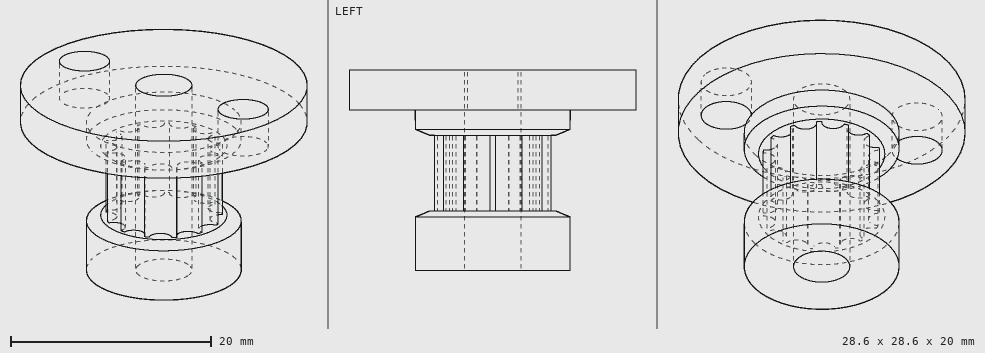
import cadquery as cq
import math

flange_diameter = 28.6
flange_thickness = 4
bolt_hole_diameter = 5.0
bolt_hole_offset = 10

total_height = 20.0
bore_diameter = 5.6
rim_radius = 7.72
rim_chamfer_height = 0.6
rim_face_radius = 6.3
lower_rim_height = 5.95
belt_width = 7.52
tooth_count = 13
tip_radius = 5.83
groove_radius = 1.15
tooth_edge_radius = 0.072

flange_bottom = total_height - flange_thickness
belt_top = lower_rim_height + belt_width
tooth_pitch = 360 / tooth_count


def make_rims():
    """Revolve the lower rim and the upper rim, chamfered where they face the belt."""
    lower_profile = [
        (0, 0),
        (rim_radius, 0),
        (rim_radius, lower_rim_height - rim_chamfer_height),
        (rim_face_radius, lower_rim_height),
        (0, lower_rim_height),
    ]
    upper_profile = [
        (0, belt_top),
        (rim_face_radius, belt_top),
        (rim_radius, belt_top + rim_chamfer_height),
        (rim_radius, flange_bottom),
        (0, flange_bottom),
    ]
    rims = cq.Workplane("XY")
    for profile in (lower_profile, upper_profile):
        outline = cq.Workplane("XZ").polyline(profile).close()
        rims = rims.add(outline.revolve(360, (0, 0), (0, 1)))
    return rims.combine()


def make_toothed_drum():
    """Drum with round grooves centred on the tip circle and one tooth centred on -X."""
    base = cq.Workplane("XY", origin=(0, 0, lower_rim_height))
    centers = []
    for index in range(tooth_count):
        angle = math.radians(180 + (index + 0.5) * tooth_pitch)
        centers.append((tip_radius * math.cos(angle), tip_radius * math.sin(angle)))
    grooves = base.pushPoints(centers).circle(groove_radius).extrude(belt_width)
    drum = base.circle(tip_radius).extrude(belt_width).cut(grooves)
    return drum.edges("|Z").fillet(tooth_edge_radius)


def make_flange():
    """Disc with two bolt holes that stop at the top of the pulley rim."""
    return (
        cq.Workplane("XY", origin=(0, 0, flange_bottom))
        .circle(flange_diameter / 2)
        .extrude(flange_thickness)
        .faces(">Z")
        .workplane()
        .pushPoints([(-bolt_hole_offset, 0), (bolt_hole_offset, 0)])
        .hole(bolt_hole_diameter)
    )


bore = cq.Workplane("XY").circle(bore_diameter / 2).extrude(total_height)
pulley = make_rims().union(make_toothed_drum())
result = pulley.union(make_flange()).cut(bore)